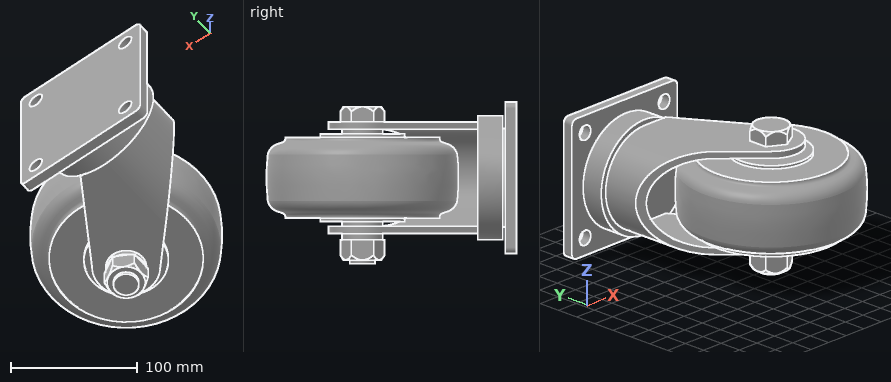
import cadquery as cq
import math


plate_side = 120.0
plate_thickness = 9.1
plate_corner_radius = 5.0
bolt_hole_diameter = 12.7
bolt_hole_spacing = 89.8
neck_diameter = 78.0
neck_length = 1.8

ring_diameter = 98.3
ring_height = 20.0
yoke_radius = 44.1
yoke_thickness = 6.0
yoke_front_height = 32.8
yoke_rear_reach = 24.3
yoke_eye_radius = 27.0

trail = 49.9
wheel_drop = 121.9
wheel_radius = 76.0
tread_edge_radius = 75.0
tread_half_width = 18.2
shoulder_outer_radius = 67.3
shoulder_outer_half_width = 26.7
shoulder_inner_radius = 63.1
shoulder_inner_half_width = 28.1
disc_radius = 61.0
disc_edge_half_width = 31.3
disc_half_width = 31.9
collar_radius = 33.5
collar_half_width = 34.6
spacer_radius = 16.2

shaft_radius = 10.0
hex_across_flats = 30.3
hex_chamfer_radius = 15.0
hex_chamfer_angle = 57
head_height = 12.0
washer_height = 5.0
nut_height = 16.0
shaft_overhang = 3.0

ring_top = -plate_thickness - neck_length
ring_bottom = ring_top - ring_height
yoke_inner_radius = yoke_radius - yoke_thickness
nut_top = -yoke_radius - washer_height
nut_bottom = nut_top - nut_height


def y_cylinder(diameter, top, height):
    """A cylinder on the swivel axis that hangs down from y = top."""
    return cq.Workplane("XZ", origin=(0, top, 0)).circle(diameter / 2).extrude(height)


def axle_cylinder(radius, bottom, top):
    """A cylinder on the wheel axis between two heights in Z."""
    return (
        cq.Workplane("XY", origin=(trail, -wheel_drop, bottom))
        .circle(radius)
        .extrude(top - bottom)
    )


def make_plate():
    plate = (
        cq.Workplane("XZ")
        .rect(plate_side, plate_side)
        .extrude(plate_thickness)
        .edges("|Y")
        .fillet(plate_corner_radius)
        .faces("<Y")
        .workplane()
        .rect(bolt_hole_spacing, bolt_hole_spacing, forConstruction=True)
        .vertices()
        .hole(bolt_hole_diameter)
    )
    return plate.union(y_cylinder(neck_diameter, -plate_thickness, neck_length))


def eye_point(angle):
    """The point of the yoke eye's rim at an angle in radians."""
    return (
        trail + yoke_eye_radius * math.cos(angle),
        -wheel_drop + yoke_eye_radius * math.sin(angle),
    )


def tangent_angle(x, y, side):
    """Angle on the eye's rim where a line from (x, y) is tangent; side is +1 or -1."""
    dx = x - trail
    dy = y + wheel_drop
    return math.atan2(dy, dx) + side * math.acos(yoke_eye_radius / math.hypot(dx, dy))


def make_yoke():
    """A U-shaped strip, trimmed to a side outline that tapers to a round eye."""
    strip_end = trail + yoke_eye_radius
    strip = (
        cq.Workplane("XZ", origin=(0, ring_bottom, 0))
        .moveTo(strip_end, yoke_radius)
        .lineTo(0, yoke_radius)
        .threePointArc((-yoke_radius, 0), (0, -yoke_radius))
        .lineTo(strip_end, -yoke_radius)
        .lineTo(strip_end, -yoke_inner_radius)
        .lineTo(0, -yoke_inner_radius)
        .threePointArc((-yoke_inner_radius, 0), (0, yoke_inner_radius))
        .lineTo(strip_end, yoke_inner_radius)
        .close()
        .extrude(wheel_drop + yoke_eye_radius)
    )
    front_bottom = ring_bottom - yoke_front_height
    front_tangent = tangent_angle(-yoke_radius, front_bottom, 1)
    rear_tangent = tangent_angle(yoke_rear_reach, ring_bottom, -1)
    eye_tip = (front_tangent + rear_tangent) / 2 + math.pi
    side_outline = (
        cq.Workplane("XY")
        .moveTo(yoke_rear_reach, ring_bottom)
        .lineTo(-yoke_radius, ring_bottom)
        .lineTo(-yoke_radius, front_bottom)
        .lineTo(*eye_point(front_tangent))
        .threePointArc(eye_point(eye_tip), eye_point(rear_tangent))
        .close()
        .extrude(yoke_radius, both=True)
    )
    return strip.intersect(side_outline)


def make_fork():
    ring = y_cylinder(ring_diameter, ring_top, ring_height)
    axle_hole = axle_cylinder(shaft_radius, -yoke_radius, yoke_radius)
    return ring.union(make_yoke()).cut(axle_hole)


def make_tread():
    """The barrel-shaped middle of the tyre, with a slightly domed rim."""
    return (
        cq.Workplane("XZ", origin=(trail, -wheel_drop, 0))
        .moveTo(0, tread_half_width)
        .lineTo(tread_edge_radius, tread_half_width)
        .threePointArc((wheel_radius, 0), (tread_edge_radius, -tread_half_width))
        .lineTo(0, -tread_half_width)
        .close()
        .revolve(360, (0, 0, 0), (0, 1, 0))
    )


def make_flank():
    """The upper side of the wheel: flat disc, fillet, conical step and rounded tyre shoulder."""
    return (
        cq.Workplane("XZ", origin=(trail, -wheel_drop, 0))
        .moveTo(0, tread_half_width)
        .lineTo(0, disc_half_width)
        .lineTo(disc_radius, disc_half_width)
        .lineTo(disc_radius, disc_edge_half_width)
        .tangentArcPoint((shoulder_inner_radius, shoulder_inner_half_width), relative=False)
        .lineTo(shoulder_outer_radius, shoulder_outer_half_width)
        .tangentArcPoint((tread_edge_radius, tread_half_width), relative=False)
        .close()
        .revolve(360, (0, 0, 0), (0, 1, 0))
    )


def make_wheel():
    """Tyre and disc in one, with a collar and a spacer on each side that reach the yoke."""
    flank = make_flank()
    wheel = make_tread().union(flank).union(flank.mirror("XY"))
    collar = axle_cylinder(collar_radius, -collar_half_width, collar_half_width)
    spacer = axle_cylinder(spacer_radius, -yoke_inner_radius, yoke_inner_radius)
    axle_hole = axle_cylinder(shaft_radius, -yoke_inner_radius, yoke_inner_radius)
    return wheel.union(collar).union(spacer).cut(axle_hole)


def make_hexagon(height):
    """A hexagonal prism on z = 0 with its top corners turned off, corners along Y."""
    corner_radius = hex_across_flats / 2 / math.cos(math.radians(30))
    chamfer_drop = (corner_radius - hex_chamfer_radius) * math.tan(math.radians(hex_chamfer_angle))
    prism = (
        cq.Workplane("XY")
        .polygon(6, 2 * corner_radius)
        .extrude(height)
        .rotate((0, 0, 0), (0, 0, 1), 90)
    )
    turned_blank = (
        cq.Workplane("XZ")
        .lineTo(corner_radius, 0)
        .lineTo(corner_radius, height - chamfer_drop)
        .lineTo(hex_chamfer_radius, height)
        .lineTo(0, height)
        .close()
        .revolve(360, (0, 0, 0), (0, 1, 0))
    )
    return prism.intersect(turned_blank)


def make_axle_bolt():
    head = make_hexagon(head_height).translate((trail, -wheel_drop, yoke_radius))
    nut = make_hexagon(nut_height).mirror("XY").translate((trail, -wheel_drop, nut_top))
    washer = axle_cylinder(spacer_radius, nut_top, -yoke_radius)
    shaft = axle_cylinder(shaft_radius, nut_bottom - shaft_overhang, yoke_radius)
    return shaft.union(head).union(washer).union(nut)


plate = make_plate()
fork = make_fork()
wheel = make_wheel()
axle_bolt = make_axle_bolt()

bodies = [plate, fork, wheel, axle_bolt]
result = cq.Compound.makeCompound([body.solids().val() for body in bodies])